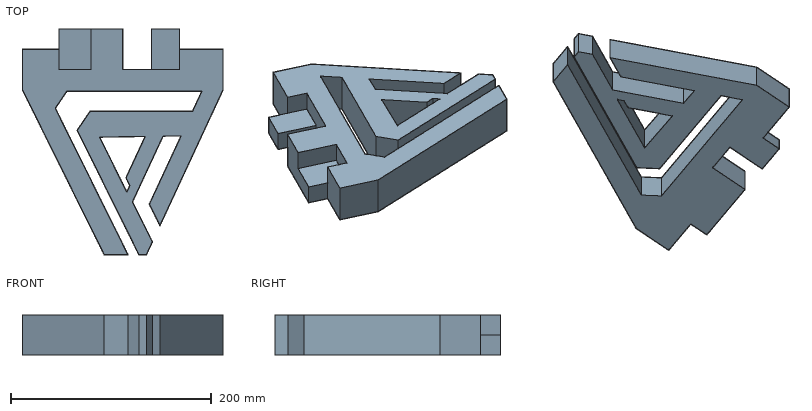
import cadquery as cq

width = 200.0
length = 224.95
thickness = 40.0
half_width = width / 2
shoulder_y = 164.4

tooth_reach = 20.0
back_y = length - tooth_reach
notch_depth = 20.3
notch_floor_y = back_y - notch_depth
half_lap_height = thickness / 2
lap_tooth_left = -63.5
full_tooth_left = -31.7
full_tooth_right = 0.0
far_tooth_left = 28.5
far_tooth_right = 56.7

left_lean = 0.496
right_lean = 0.465
outer_left_foot = left_lean * shoulder_y - half_width
outer_right_foot = half_width - right_lean * shoulder_y

channel_left_foot = 5.4
channel_right_foot = 16.1
channel_top_y = 162.7
channel_bottom_y = 143.1
outer_bevel_y = 146.0
inner_bevel_y = 124.1
bevel_lean = 0.68

ceiling_left_y = 117.1
ceiling_slope = 0.016
window_left_foot = 35.2
window_right_foot = -32.6
window_step_foot = 41.2
window_toe_foot = -25.2
slot_left_foot = -14.75
slot_right_foot = 2.85
slot_arm_foot = 36.0
slot_tip_foot = 51.4


def on_left_wall(foot, y):
    """Point at height y on a wall that leans to the left."""
    return (foot - left_lean * y, y)


def on_right_wall(foot, y):
    """Point at height y on a wall that leans to the right."""
    return (foot + right_lean * y, y)


def wall_crossing(left_foot, right_foot):
    """Point where a left-leaning wall meets a right-leaning wall."""
    y = (left_foot - right_foot) / (left_lean + right_lean)
    return on_left_wall(left_foot, y)


ceiling_start_x = on_left_wall(window_left_foot, ceiling_left_y)[0]


def ceiling_on_right_wall(foot):
    """Point where the tilted ceiling meets a right-leaning wall."""
    ceiling_y_at_foot = ceiling_left_y + ceiling_slope * (foot - ceiling_start_x)
    y = ceiling_y_at_foot / (1 - ceiling_slope * right_lean)
    return on_right_wall(foot, y)


def bevel_top(bevel_start, top_y):
    """Upper end of a corner bevel that starts at the given point."""
    return (bevel_start[0] + bevel_lean * (top_y - bevel_start[1]), top_y)


def prism(points):
    """Closed polygon extruded through the full plate thickness."""
    return cq.Workplane("XY").polyline(points).close().extrude(thickness)


def block(x_left, x_right, height):
    """Box covering the depth of the toothed zone."""
    depth = length - notch_floor_y
    box = cq.Workplane("XY").box(x_right - x_left, depth, height, centered=False)
    return box.translate((x_left, notch_floor_y, 0))


def make_plate():
    return prism([
        on_left_wall(outer_left_foot, 0),
        on_right_wall(outer_right_foot, 0),
        (half_width, shoulder_y),
        (half_width, back_y),
        (-half_width, back_y),
        (-half_width, shoulder_y),
    ])


def make_channel():
    outer_bevel = on_left_wall(channel_left_foot, outer_bevel_y)
    inner_bevel = on_left_wall(channel_right_foot, inner_bevel_y)
    return prism([
        on_left_wall(channel_left_foot, 0),
        outer_bevel,
        bevel_top(outer_bevel, channel_top_y),
        on_right_wall(slot_right_foot, channel_top_y),
        on_right_wall(slot_right_foot, channel_bottom_y),
        bevel_top(inner_bevel, channel_bottom_y),
        inner_bevel,
        on_left_wall(channel_right_foot, 0),
    ])


def make_window():
    return prism([
        on_left_wall(window_left_foot, ceiling_left_y),
        ceiling_on_right_wall(window_right_foot),
        wall_crossing(window_step_foot, window_right_foot),
        wall_crossing(window_step_foot, window_toe_foot),
        wall_crossing(window_left_foot, window_toe_foot),
    ])


def make_slot():
    return prism([
        ceiling_on_right_wall(slot_left_foot),
        ceiling_on_right_wall(slot_right_foot),
        wall_crossing(slot_tip_foot, slot_right_foot),
        wall_crossing(slot_tip_foot, outer_right_foot),
        wall_crossing(slot_arm_foot, outer_right_foot),
        wall_crossing(slot_arm_foot, slot_left_foot),
    ])


def add_teeth(body):
    """Clear the toothed zone of the back edge, then set the three teeth in it."""
    body = body.cut(block(lap_tooth_left, far_tooth_right, thickness))
    body = body.union(block(lap_tooth_left, full_tooth_left, half_lap_height))
    body = body.union(block(full_tooth_left, full_tooth_right, thickness))
    return body.union(block(far_tooth_left, far_tooth_right, half_lap_height))


plate = make_plate().cut(make_channel()).cut(make_window()).cut(make_slot())
result = add_teeth(plate)